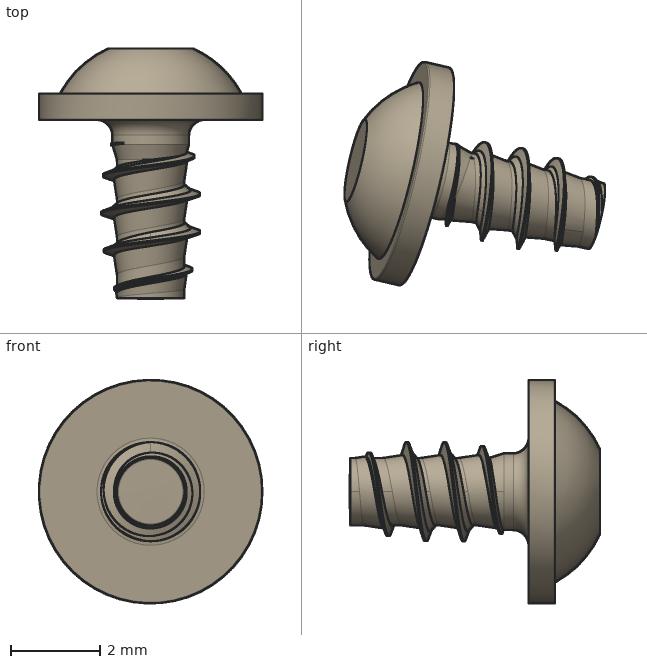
import cadquery as cq
import math


flange_diameter = 5.0
flange_thickness = 0.6
flange_edge_radius = 0.03
dome_height = 1.0
dome_base_radius = 2.03
dome_sphere_radius = 2.31

overall_length = 5.6
shank_length = overall_length - flange_thickness - dome_height
neck_radius = 0.86
neck_fillet_radius = 0.335
neck_length = 0.545
core_radius = 0.755
core_start = 0.885
tip_edge_width = 0.035
tip_edge_height = 0.01
tip_cone_height = 0.01

pitch = 0.845
first_crest_height = 0.81
crest_radius = 1.11
crest_half_width = 0.015
head_flank_offset = -0.09
head_flank_radius = 0.895
root_offset = -0.26
root_radius = 0.7
tip_flank_offset = 0.1
full_thread_start = 0.75
full_thread_end = 2.25
thread_end = 3.75
lead_in_start = -0.625
lead_in_end = -0.25
lead_in_crest_radius = 0.94
lead_in_start_height = 0.515

ridge_radius = 0.825
ridge_head_offset = 0.09
ridge_tip_offset = 0.54
ridge_start = -0.5
ridge_fade_start = 2.75
burial_depth = 0.17


def crest_height(turn):
    """Height of the thread crest after a number of turns from the +X side."""
    return first_crest_height + pitch * turn


def helix_edge(start, end, axial_offset, radius):
    """Helix through two (turn, height, radial shift) stations, conical if the shift changes."""
    start_turn, start_height, start_shift = start
    end_turn, end_height, end_shift = end
    rise = end_height - start_height
    slope = math.atan2(end_shift - start_shift, rise)
    slant = rise / math.cos(slope)
    cone_angle = 360 if slope == 0 else math.degrees(slope)
    helix = cq.Wire.makeHelix(slant / (end_turn - start_turn), slant, radius + start_shift, angle=cone_angle)
    helix = helix.rotate(cq.Vector(0, 0, 0), cq.Vector(0, 0, 1), 360 * start_turn)
    return helix.translate(cq.Vector(0, 0, start_height + axial_offset)).Edges()[0]


def section_cap(profile, station):
    """Flat end of a helical solid, in the plane through the axis at the station."""
    turn, height, shift = station
    points = [cq.Vector(radius + shift, 0, height + offset) for offset, radius in profile]
    cap = cq.Face.makeFromWires(cq.Wire.makePolygon(points, close=True))
    return cap.rotate(cq.Vector(0, 0, 0), cq.Vector(0, 0, 1), 360 * turn)


def helical_solid(profile, stations):
    """Solid with an (axial offset, radius) profile carried along helices between stations."""
    faces = [section_cap(profile, stations[0]), section_cap(profile, stations[-1])]
    for start, end in zip(stations, stations[1:]):
        edges = [helix_edge(start, end, *point) for point in profile]
        for edge, next_edge in zip(edges, edges[1:] + edges[:1]):
            faces.append(cq.Face.makeRuledSurface(edge, next_edge))
    return cq.Solid.makeSolid(cq.Shell.makeShell(faces)).fix()


def make_head():
    flange = (
        cq.Workplane("XY")
        .circle(flange_diameter / 2)
        .extrude(-flange_thickness)
        .edges()
        .fillet(flange_edge_radius)
    )
    sphere_centre = -flange_thickness + math.sqrt(dome_sphere_radius**2 - dome_base_radius**2)
    dome_top = -flange_thickness - dome_height
    flat_radius = math.sqrt(dome_sphere_radius**2 - (dome_top - sphere_centre) ** 2)
    middle_height = -flange_thickness - dome_height / 2
    middle_radius = math.sqrt(dome_sphere_radius**2 - (middle_height - sphere_centre) ** 2)
    dome = (
        cq.Workplane("XZ")
        .moveTo(0, -flange_thickness)
        .lineTo(dome_base_radius, -flange_thickness)
        .threePointArc((middle_radius, middle_height), (flat_radius, dome_top))
        .lineTo(0, dome_top)
        .close()
        .revolve(360, (0, 0, 0), (0, 1, 0))
    )
    return flange.union(dome)


def make_core():
    tip_height = shank_length - tip_cone_height
    return (
        cq.Workplane("XZ")
        .moveTo(0, -flange_thickness / 2)
        .lineTo(neck_radius + neck_fillet_radius, -flange_thickness / 2)
        .lineTo(neck_radius + neck_fillet_radius, 0)
        .radiusArc((neck_radius, neck_fillet_radius), neck_fillet_radius)
        .lineTo(neck_radius, neck_length)
        .lineTo(core_radius, core_start)
        .lineTo(core_radius, tip_height - tip_edge_height)
        .lineTo(core_radius - tip_edge_width, tip_height)
        .lineTo(0, shank_length)
        .close()
        .revolve(360, (0, 0, 0), (0, 1, 0))
    )


def make_thread():
    foot_radius = core_radius - burial_depth
    profile = [
        (root_offset, foot_radius),
        (root_offset, root_radius),
        (head_flank_offset, head_flank_radius),
        (-crest_half_width, crest_radius),
        (crest_half_width, crest_radius),
        (tip_flank_offset, ridge_radius),
        (tip_flank_offset, foot_radius),
    ]
    stations = [
        (lead_in_start, lead_in_start_height, neck_radius - crest_radius),
        (lead_in_end, crest_height(lead_in_end), lead_in_crest_radius - crest_radius),
        (full_thread_start, crest_height(full_thread_start), 0),
        (full_thread_end, crest_height(full_thread_end), 0),
        (thread_end, crest_height(thread_end), core_radius - crest_radius),
    ]
    return helical_solid(profile, stations)


def make_ridge():
    foot_radius = core_radius - burial_depth
    profile = [
        (ridge_head_offset, foot_radius),
        (ridge_head_offset, ridge_radius),
        (ridge_tip_offset, core_radius),
        (ridge_tip_offset, foot_radius),
    ]
    stations = [
        (ridge_start, crest_height(ridge_start), 0),
        (ridge_fade_start, crest_height(ridge_fade_start), 0),
        (thread_end, crest_height(thread_end), core_radius - ridge_radius),
    ]
    return helical_solid(profile, stations)


def make_tip_trim():
    """Block that removes any thread running past the tip rim."""
    tip_rim = shank_length - tip_cone_height - tip_edge_height
    return cq.Workplane("XY").workplane(offset=tip_rim).circle(flange_diameter).extrude(pitch)


thread = cq.Workplane(make_thread()).union(cq.Workplane(make_ridge())).cut(make_tip_trim())
screw = make_head().union(make_core()).union(thread)

result = screw.rotate((0, 0, 0), (1, 0, 0), 90)